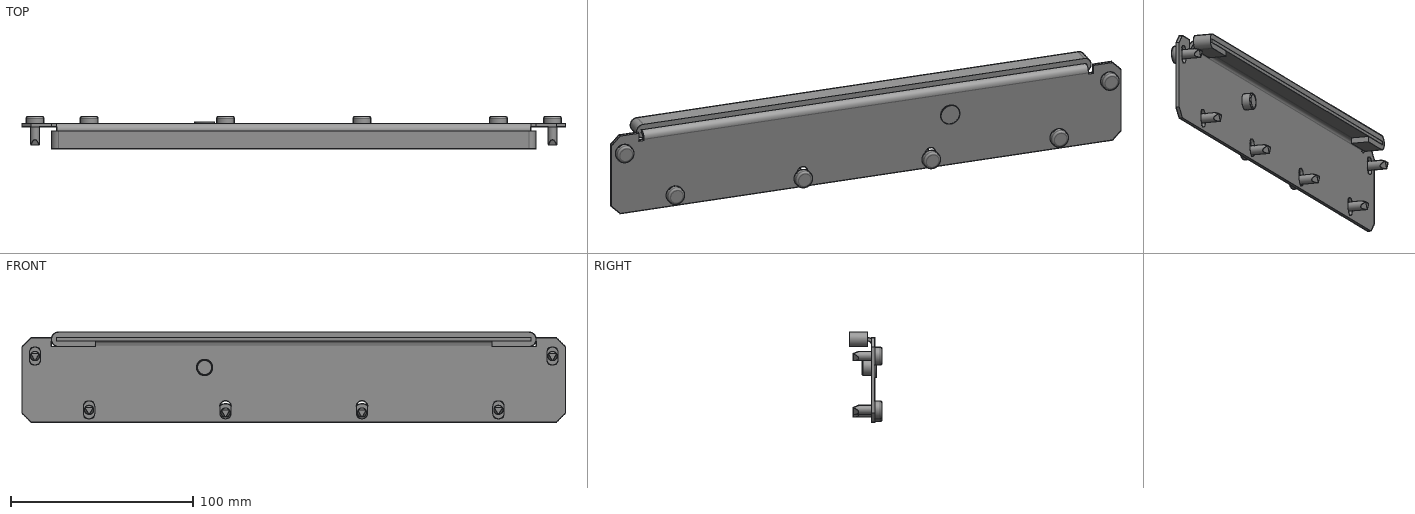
import cadquery as cq
import math


PLATE_LENGTH = 298.0
PLATE_HEIGHT = 46.5
SHEET = 1.95
CORNER_CHAMFER = 5.0
BEND_INNER_RADIUS = 2.0
BEND_OUTER_RADIUS = BEND_INNER_RADIUS + SHEET
FLANGE_DEPTH = 14.0
FLANGE_HALF_LENGTH = 130.0
RELIEF_HALF_LENGTH = 133.0
RELIEF_BOTTOM = 41.7

TRIM_DEPTH = FLANGE_DEPTH - BEND_OUTER_RADIUS
TRIM_HEIGHT = 8.0
TRIM_HALF_LENGTH = 133.0
TRIM_LIP_LENGTH = 24.0
TRIM_CENTER_Z = PLATE_HEIGHT - SHEET / 2

SLOT_WIDTH = 6.3
SLOT_LENGTH = 9.8
HEAD_DIAMETER = 9.8
HEAD_HEIGHT = 4.0
HEAD_FILLET = 1.2
SHANK_DIAMETER = 5.0
SHANK_LENGTH = 12.0
TIP_LENGTH = 3.0
TIP_FLAT_OFFSET = 1.35
TIP_SIDES = 3
UPPER_SLOT_X = 141.8
UPPER_SLOT_Z = 36.5
LOWER_SLOT_PITCH = 74.8
LOWER_SLOT_Z = 7.0
INNER_SCREW_DROP = 1.5

STUD_X = -49.0
STUD_Z = 30.0
STUD_DIAMETER = 9.0
STUD_LENGTH = 7.2
STUD_CHAMFER = 0.5
STUD_FLANGE_DIAMETER = 11.0
STUD_FLANGE_THICKNESS = 1.0

UPPER_SLOTS = [(side * UPPER_SLOT_X, UPPER_SLOT_Z) for side in (-1, 1)]
OUTER_LOWER_SLOTS = [(side * 1.5 * LOWER_SLOT_PITCH, LOWER_SLOT_Z) for side in (-1, 1)]
INNER_LOWER_SLOTS = [(side * LOWER_SLOT_PITCH / 2, LOWER_SLOT_Z) for side in (-1, 1)]
SLOTS = UPPER_SLOTS + OUTER_LOWER_SLOTS + INNER_LOWER_SLOTS

SCREWS = UPPER_SLOTS + OUTER_LOWER_SLOTS + [(x, z - INNER_SCREW_DROP) for x, z in INNER_LOWER_SLOTS]


def front_plane(y=0.0):
    """XZ workplane at the given Y; positive extrusion goes toward -Y."""
    return cq.Workplane("XZ", origin=(0, y, 0))


def turned_plane(x, z):
    """Plane on the rear face at (x, z) for turned parts; its normal points toward -Y."""
    return cq.Workplane(cq.Plane(origin=(x, 0, z), xDir=(-1, 0, 0), normal=(0, -1, 0)))


def make_sheet():
    """Flat plate with chamfered corners, cut away where the flange and its reliefs are."""
    cut_height = PLATE_HEIGHT - RELIEF_BOTTOM
    blank = (
        front_plane()
        .center(0, PLATE_HEIGHT / 2)
        .rect(PLATE_LENGTH, PLATE_HEIGHT)
        .extrude(SHEET)
        .edges("|Y")
        .chamfer(CORNER_CHAMFER)
    )
    cut = (
        front_plane()
        .center(0, RELIEF_BOTTOM + cut_height / 2)
        .rect(2 * RELIEF_HALF_LENGTH, cut_height)
        .extrude(SHEET)
    )
    return blank.cut(cut)


def make_bent_flange():
    """Strip that rises from the sheet and bends forward through a right angle."""
    diagonal = math.sqrt(0.5)
    bend_z = PLATE_HEIGHT - BEND_OUTER_RADIUS
    outer_mid = (
        -BEND_OUTER_RADIUS * (1 - diagonal),
        bend_z + BEND_OUTER_RADIUS * diagonal,
    )
    inner_mid = (
        -BEND_OUTER_RADIUS + BEND_INNER_RADIUS * diagonal,
        bend_z + BEND_INNER_RADIUS * diagonal,
    )
    return (
        cq.Workplane("YZ", origin=(-FLANGE_HALF_LENGTH, 0, 0))
        .moveTo(0, RELIEF_BOTTOM)
        .lineTo(0, bend_z)
        .threePointArc(outer_mid, (-BEND_OUTER_RADIUS, PLATE_HEIGHT))
        .lineTo(-FLANGE_DEPTH, PLATE_HEIGHT)
        .lineTo(-FLANGE_DEPTH, PLATE_HEIGHT - SHEET)
        .lineTo(-BEND_OUTER_RADIUS, PLATE_HEIGHT - SHEET)
        .threePointArc(inner_mid, (-SHEET, bend_z))
        .lineTo(-SHEET, RELIEF_BOTTOM)
        .close()
        .extrude(2 * FLANGE_HALF_LENGTH)
    )


def make_plate():
    """Sheet and flange with the screw slots and the stud hole."""
    slots = front_plane().pushPoints(SLOTS).slot2D(SLOT_LENGTH, SLOT_WIDTH, 90).extrude(SHEET)
    stud_hole = turned_plane(STUD_X, STUD_Z).circle(STUD_DIAMETER / 2).extrude(SHEET)
    return make_sheet().union(make_bent_flange()).cut(slots).cut(stud_hole)


def make_trim():
    """Round-ended strip over the flange whose lower side remains only as a lip at each end."""
    body = (
        front_plane(-BEND_OUTER_RADIUS)
        .center(0, TRIM_CENTER_Z)
        .slot2D(2 * TRIM_HALF_LENGTH, TRIM_HEIGHT)
        .extrude(TRIM_DEPTH)
    )
    flange_groove = (
        front_plane(-BEND_OUTER_RADIUS)
        .center(0, TRIM_CENTER_Z)
        .rect(2 * FLANGE_HALF_LENGTH, SHEET)
        .extrude(TRIM_DEPTH)
    )
    lip_gap = (
        front_plane(-BEND_OUTER_RADIUS)
        .center(0, TRIM_CENTER_Z - TRIM_HEIGHT / 4)
        .rect(2 * (TRIM_HALF_LENGTH - TRIM_LIP_LENGTH), TRIM_HEIGHT / 2)
        .extrude(TRIM_DEPTH)
    )
    return body.cut(flange_groove).cut(lip_gap)


def make_tip_cutter(angle):
    """Wedge that slopes one side of a screw tip, turned by the angle about the screw axis."""
    radius = SHANK_DIAMETER / 2
    return (
        cq.Workplane("YZ")
        .moveTo(TIP_LENGTH - SHANK_LENGTH, radius)
        .lineTo(-SHANK_LENGTH, radius)
        .lineTo(-SHANK_LENGTH, TIP_FLAT_OFFSET)
        .close()
        .extrude(radius, both=True)
        .rotate((0, 0, 0), (0, 1, 0), angle)
    )


def make_screw(x, z):
    """Screw with a three-sided tip and its head against the rear face of the plate."""
    head = (
        turned_plane(x, z)
        .circle(HEAD_DIAMETER / 2)
        .extrude(-HEAD_HEIGHT)
        .faces(">Y")
        .edges()
        .fillet(HEAD_FILLET)
    )
    shank = turned_plane(x, z).circle(SHANK_DIAMETER / 2).extrude(SHANK_LENGTH)
    screw = head.union(shank)
    for side in range(TIP_SIDES):
        screw = screw.cut(make_tip_cutter(side * 360 / TIP_SIDES).translate((x, 0, z)))
    return screw


def make_stud():
    """Stud through the plate with a thin flange behind it."""
    body = (
        turned_plane(STUD_X, STUD_Z)
        .circle(STUD_DIAMETER / 2)
        .extrude(STUD_LENGTH)
        .faces("<Y")
        .edges()
        .chamfer(STUD_CHAMFER)
    )
    flange = (
        turned_plane(STUD_X, STUD_Z)
        .circle(STUD_FLANGE_DIAMETER / 2)
        .extrude(-STUD_FLANGE_THICKNESS)
    )
    return body.union(flange)


plate = make_plate()
trim = make_trim()
stud = make_stud()
screws = [make_screw(x, z) for x, z in SCREWS]

result = cq.Compound.makeCompound(
    [plate.val(), trim.val(), stud.val(), *[screw.val() for screw in screws]]
)